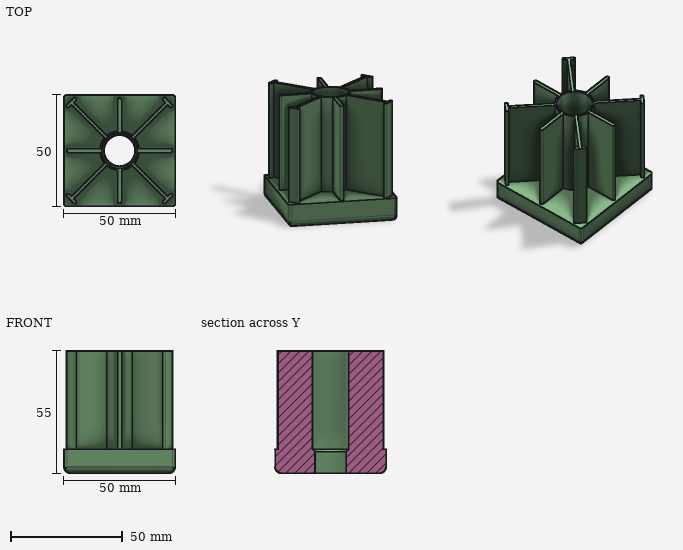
import cadquery as cq

total_height = 55.0
base_width = 50.0
base_height = 10.9
corner_radius = 1.4
bottom_edge_radius = 3.2

tube_diameter = 17.6
tube_bore_diameter = 16.0
base_hole_diameter = 13.85

straight_rib_reach = 23.65
straight_rib_thickness = 1.75

diagonal_rib_thickness = 1.45
crossbar_reach = 31.25
crossbar_thickness = 1.5
crossbar_length = 5.8

rib_height = total_height - base_height
crossbar_center = crossbar_reach - crossbar_thickness / 2


def rounded_base():
    """Square base whose bottom roundings meet in mitres at the corners."""
    plate = cq.Workplane("XY").box(base_width, base_width, base_height, centered=(True, True, False))
    rounded_in_plan = plate.edges("|Z").fillet(corner_radius)
    rounded_along_x = plate.faces("<Z").edges("|X").fillet(bottom_edge_radius)
    rounded_along_y = plate.faces("<Z").edges("|Y").fillet(bottom_edge_radius)
    return rounded_in_plan.intersect(rounded_along_x).intersect(rounded_along_y)


def rib_sketch_plane():
    return cq.Workplane("XY").workplane(offset=base_height)


def radial_bar(reach, thickness):
    """Upright bar from the axis out to the given reach along +X."""
    return rib_sketch_plane().center(reach / 2, 0).rect(reach, thickness).extrude(rib_height)


def straight_rib():
    end_center = straight_rib_reach - straight_rib_thickness / 2
    rounded_end = (
        rib_sketch_plane().center(end_center, 0).circle(straight_rib_thickness / 2).extrude(rib_height)
    )
    return radial_bar(end_center, straight_rib_thickness).union(rounded_end)


def diagonal_rib():
    crossbar = (
        rib_sketch_plane()
        .center(crossbar_center, 0)
        .slot2D(crossbar_length, crossbar_thickness, 90)
        .extrude(rib_height)
    )
    return radial_bar(crossbar_center, diagonal_rib_thickness).union(crossbar)


def stepped_bore():
    """Through hole in the base, opening through a 45 degree cone into the wider tube bore."""
    tube_bore = rib_sketch_plane().circle(tube_bore_diameter / 2).extrude(rib_height)
    base_hole = cq.Workplane("XY").circle(base_hole_diameter / 2).extrude(base_height)
    cone_depth = (tube_bore_diameter - base_hole_diameter) / 2
    cone = cq.Solid.makeCone(
        base_hole_diameter / 2,
        tube_bore_diameter / 2,
        cone_depth,
        pnt=cq.Vector(0, 0, base_height - cone_depth),
    )
    return tube_bore.union(base_hole).union(cq.Workplane(cone))


tube = rib_sketch_plane().circle(tube_diameter / 2).extrude(rib_height)
result = rounded_base().union(tube)

for quarter_turn in range(4):
    angle = 90 * quarter_turn
    result = result.union(straight_rib().rotate((0, 0, 0), (0, 0, 1), angle))
    result = result.union(diagonal_rib().rotate((0, 0, 0), (0, 0, 1), angle + 45))

result = result.cut(stepped_bore())